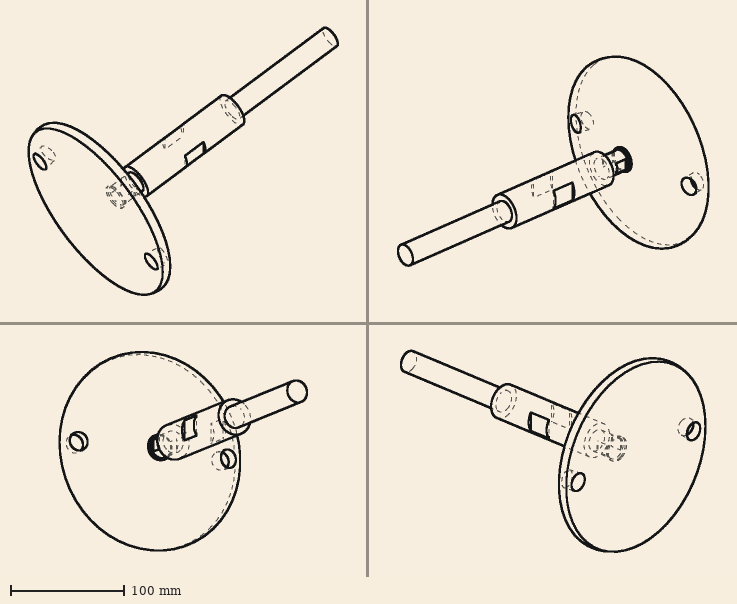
import cadquery as cq
import math

TOTAL_LENGTH = 280.0

FOOT_RADIUS = 178.0 / 2
UNDERSIDE_RADIUS = 88.0
RIM_BOTTOM = 4.0
RIM_TOP = 6.7
RIM_ROUND_RADIUS = 3.0
CONE_ANGLE = math.radians(9.8)
COLLAR_RADIUS = 11.5
COLLAR_SHOULDER = 24.5
COLLAR_TOP = 25.5

HOLE_DIAMETER = 16.5
HOLE_OFFSET = 72.8
HOLE_CUT_LENGTH = 112.0

ROD_RADIUS = 20.0 / 2
SLEEVE_RADIUS = 32.0 / 2
SLEEVE_START = 48.2
SLEEVE_LENGTH = 114.8

SLEEVE_FLAT_OFFSET = 13.2
SLEEVE_FLAT_LENGTH = 22.0
STEM_FLAT_OFFSET = 8.5
STEM_FLAT_LENGTH = 11.2
STEM_FLAT_CENTRE = 32.8


def rod_along_y(radius, start, end):
    """Cylinder on the Y axis from start to end."""
    return cq.Workplane("XZ", origin=(0, start, 0)).circle(radius).extrude(start - end)


def mounting_hole(side):
    """Cutter for one hole, leaning outward from the axis on the given side (+1 or -1)."""
    direction = cq.Vector(side * math.sin(CONE_ANGLE), math.cos(CONE_ANGLE), 0)
    centre = cq.Vector(side * HOLE_OFFSET, 0, 0)
    start = centre - direction * (HOLE_CUT_LENGTH / 2)
    return cq.Solid.makeCylinder(HOLE_DIAMETER / 2, HOLE_CUT_LENGTH, start, direction)


def make_foot():
    arc_centre_radius = FOOT_RADIUS - RIM_ROUND_RADIUS

    def rim_arc_point(angle):
        return (
            arc_centre_radius + RIM_ROUND_RADIUS * math.cos(angle),
            RIM_TOP + RIM_ROUND_RADIUS * math.sin(angle),
        )

    arc_end_angle = math.pi / 2 - CONE_ANGLE
    cone_edge = rim_arc_point(arc_end_angle)
    cone_top = cone_edge[1] + (cone_edge[0] - COLLAR_RADIUS) * math.tan(CONE_ANGLE)

    foot = (
        cq.Workplane("XY")
        .lineTo(UNDERSIDE_RADIUS, 0)
        .lineTo(FOOT_RADIUS, RIM_BOTTOM)
        .lineTo(FOOT_RADIUS, RIM_TOP)
        .threePointArc(rim_arc_point(arc_end_angle / 2), cone_edge)
        .lineTo(COLLAR_RADIUS, cone_top)
        .lineTo(COLLAR_RADIUS, COLLAR_SHOULDER)
        .lineTo(ROD_RADIUS, COLLAR_TOP)
        .lineTo(0, COLLAR_TOP)
        .close()
        .revolve(360, (0, 0, 0), (0, 1, 0))
    )
    for side in (-1, 1):
        foot = foot.cut(mounting_hole(side))
    return foot


def cut_wrench_flats(body, centre, length, offset):
    """Cut a pair of flats at the given distance from the axis, centred at a height on Y."""
    cutter_size = 2 * SLEEVE_RADIUS
    for side in (-1, 1):
        cutter = cq.Workplane("XY").box(cutter_size, length, cutter_size)
        body = body.cut(cutter.translate((side * (offset + cutter_size / 2), centre, 0)))
    return body


def make_spindle():
    rod = rod_along_y(ROD_RADIUS, COLLAR_TOP, TOTAL_LENGTH)
    sleeve = rod_along_y(SLEEVE_RADIUS, SLEEVE_START, SLEEVE_START + SLEEVE_LENGTH)
    spindle = rod.union(sleeve)
    sleeve_centre = SLEEVE_START + SLEEVE_LENGTH / 2
    spindle = cut_wrench_flats(spindle, sleeve_centre, SLEEVE_FLAT_LENGTH, SLEEVE_FLAT_OFFSET)
    return cut_wrench_flats(spindle, STEM_FLAT_CENTRE, STEM_FLAT_LENGTH, STEM_FLAT_OFFSET)


foot = make_foot()
spindle = make_spindle()
result = cq.Compound.makeCompound([foot.val(), spindle.val()])